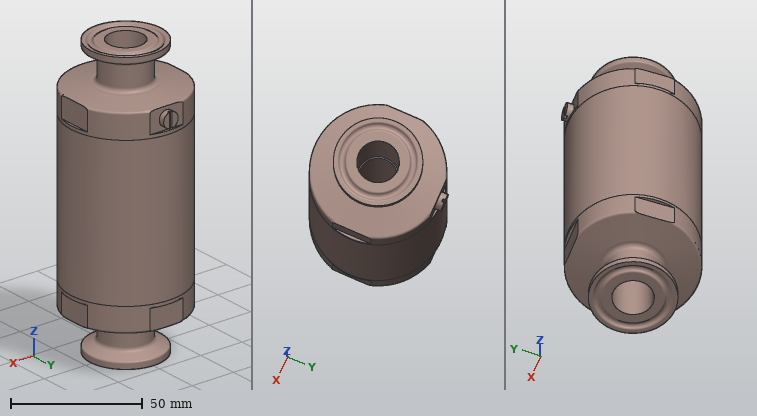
import cadquery as cq
import math

LENGTH = 130.0
BODY_RADIUS = 52.4 / 2

CAP_LENGTH = 30.4
CAP_BORE_RADIUS = 16.1 / 2
NECK_RADIUS = 22.0 / 2
SHOULDER_DEPTH = 17.5
SHOULDER_FLAT_RADIUS = 13.6
SHOULDER_SLOPE = math.radians(7)
SHOULDER_ROUND = 0.9
NECK_FILLET = 2.0

FERRULE_RADIUS = 34.0 / 2
FERRULE_RIM_DEPTH = 2.3
FERRULE_RIM_ROUND = 0.8
FERRULE_SLOPE = math.radians(20)

GROOVE_RADIUS = 13.6
GROOVE_ARC = 1.4
GROOVE_LIP_ROUND = 0.8
GROOVE_WALL_ANGLE = math.radians(60)

FLAT_DISTANCE = 49.9 / 2
FLAT_INNER_DEPTH = 28.9
FLAT_ANGLES = (0, 90, 180)

TUBE_LENGTH = LENGTH - 2 * CAP_LENGTH
TUBE_BORE_RADIUS = 15.0 / 2

SCREW_DIAMETER = 7.0
SCREW_TOP_Y = 53.8 - BODY_RADIUS
SCREW_DEPTH = 24.0
SLOT_WIDTH = 1.2
SLOT_DEPTH = 0.9


def arc_point(center, radius, angle):
    """Point on an arc in the (radius, depth) half plane."""
    return (center[0] + radius * math.cos(angle), center[1] + radius * math.sin(angle))


def cap_blank():
    """Revolved end cap with its ferrule face at depth 0 and its depth along +Z."""
    rim_center = (FERRULE_RADIUS - FERRULE_RIM_ROUND, FERRULE_RIM_DEPTH)
    back_angle = math.pi / 2 - FERRULE_SLOPE
    rim_end = arc_point(rim_center, FERRULE_RIM_ROUND, back_angle)

    fillet_x = NECK_RADIUS + NECK_FILLET
    back_end_x = fillet_x - NECK_FILLET * math.sin(FERRULE_SLOPE)
    back_end_depth = rim_end[1] + (rim_end[0] - back_end_x) * math.tan(FERRULE_SLOPE)
    back_end = (back_end_x, back_end_depth)
    neck_start = (NECK_RADIUS, back_end_depth + NECK_FILLET * math.cos(FERRULE_SLOPE))

    round_x = BODY_RADIUS - SHOULDER_ROUND
    slope_end_x = round_x + SHOULDER_ROUND * math.sin(SHOULDER_SLOPE)
    slope_rise = (slope_end_x - SHOULDER_FLAT_RADIUS) * math.tan(SHOULDER_SLOPE)
    slope_end = (slope_end_x, SHOULDER_DEPTH + slope_rise)
    wall_start = (BODY_RADIUS, slope_end[1] + SHOULDER_ROUND * math.cos(SHOULDER_SLOPE))

    profile = (
        cq.Workplane("XZ")
        .moveTo(CAP_BORE_RADIUS, 0)
        .lineTo(FERRULE_RADIUS, 0)
        .lineTo(FERRULE_RADIUS, FERRULE_RIM_DEPTH)
        .threePointArc(arc_point(rim_center, FERRULE_RIM_ROUND, back_angle / 2), rim_end)
        .lineTo(*back_end)
        .tangentArcPoint(neck_start, relative=False)
        .lineTo(NECK_RADIUS, SHOULDER_DEPTH - NECK_FILLET)
        .tangentArcPoint((NECK_RADIUS + NECK_FILLET, SHOULDER_DEPTH), relative=False)
        .lineTo(SHOULDER_FLAT_RADIUS, SHOULDER_DEPTH)
        .lineTo(*slope_end)
        .tangentArcPoint(wall_start, relative=False)
        .lineTo(BODY_RADIUS, CAP_LENGTH)
        .lineTo(CAP_BORE_RADIUS, CAP_LENGTH)
        .close()
    )
    return profile.revolve(360, (0, 0, 0), (0, 1, 0))


def gasket_groove():
    """Ring cut from the ferrule face: a concave floor between two rounded lips."""
    waist = GROOVE_ARC * math.sin(GROOVE_WALL_ANGLE)
    half_width = waist + GROOVE_LIP_ROUND * math.sin(GROOVE_WALL_ANGLE)
    lip_depth = GROOVE_LIP_ROUND * (1 - math.cos(GROOVE_WALL_ANGLE))
    floor_depth = lip_depth + GROOVE_ARC * (1 - math.cos(GROOVE_WALL_ANGLE))
    profile = (
        cq.Workplane("XZ")
        .moveTo(GROOVE_RADIUS + half_width, 0)
        .lineTo(GROOVE_RADIUS - half_width, 0)
        .threePointArc(
            arc_point(
                (GROOVE_RADIUS - half_width, GROOVE_LIP_ROUND),
                GROOVE_LIP_ROUND,
                (GROOVE_WALL_ANGLE - math.pi) / 2,
            ),
            (GROOVE_RADIUS - waist, lip_depth),
        )
        .threePointArc((GROOVE_RADIUS, floor_depth), (GROOVE_RADIUS + waist, lip_depth))
        .threePointArc(
            arc_point(
                (GROOVE_RADIUS + half_width, GROOVE_LIP_ROUND),
                GROOVE_LIP_ROUND,
                -(GROOVE_WALL_ANGLE + math.pi) / 2,
            ),
            (GROOVE_RADIUS + half_width, 0),
        )
        .close()
    )
    return profile.revolve(360, (0, 0, 0), (0, 1, 0))


def wrench_flat(angle):
    """Block that removes everything outside one flat."""
    return (
        cq.Workplane("XY")
        .box(BODY_RADIUS, 2 * BODY_RADIUS, FLAT_INNER_DEPTH, centered=(False, True, False))
        .translate((FLAT_DISTANCE, 0, 0))
        .rotate((0, 0, 0), (0, 0, 1), angle)
    )


def make_lower_cap():
    cap = cap_blank().cut(gasket_groove())
    for angle in FLAT_ANGLES:
        cap = cap.cut(wrench_flat(angle))
    return cap.translate((0, 0, -LENGTH / 2))


def make_tube():
    return (
        cq.Workplane("XY")
        .circle(BODY_RADIUS)
        .circle(TUBE_BORE_RADIUS)
        .extrude(TUBE_LENGTH)
        .translate((0, 0, -TUBE_LENGTH / 2))
    )


def make_screw():
    height = SCREW_TOP_Y - FLAT_DISTANCE
    slot = cq.Workplane("XY").box(SLOT_WIDTH, 2 * SLOT_DEPTH, SCREW_DIAMETER)
    return (
        cq.Workplane("XZ")
        .circle(SCREW_DIAMETER / 2)
        .extrude(height)
        .translate((0, SCREW_TOP_Y, 0))
        .cut(slot.translate((0, SCREW_TOP_Y, 0)))
        .translate((0, 0, LENGTH / 2 - SCREW_DEPTH))
    )


lower_cap = make_lower_cap()
upper_cap = lower_cap.mirror("XY")
tube = make_tube()
screw = make_screw()

result = cq.Compound.makeCompound([lower_cap.val(), upper_cap.val(), tube.val(), screw.val()])